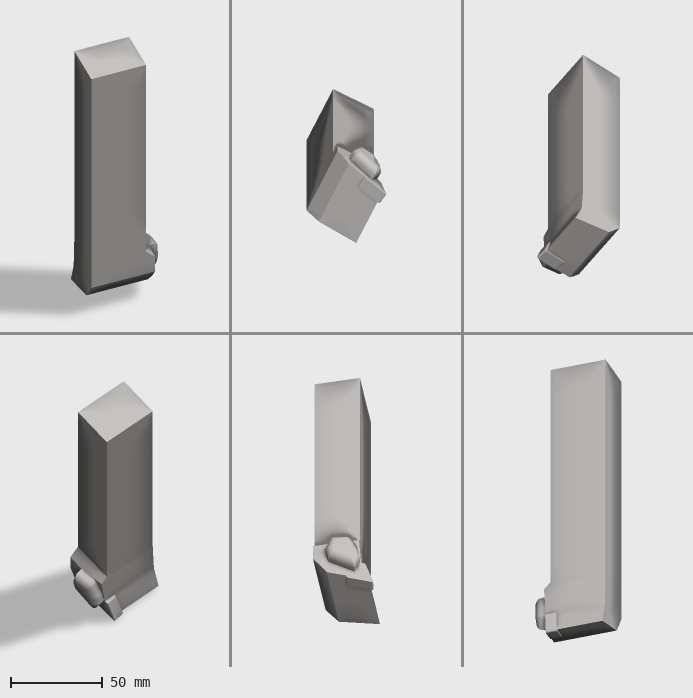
import cadquery as cq
import math

shank_width = 25.0
shank_depth = 32.0
tool_length = 171.4

head_top = 36.0
head_depth = 37.4
neck_x = -1.0
neck_z = 15.0
neck_radius = 17.1
toe_x = -5.1
toe_z = 1.9
heel_x = 17.6
heel_z = 8.7
flank_z = 20.0

corner_x = -7.7
corner_z = -0.41
rake_slope_x = 0.14
rake_slope_z = 0.08
waste_size = 342.7

insert_angle = 55.0
inscribed_diameter = 12.7
insert_thickness = 6.3
nose_radius = 0.8
edge_lead_angle = 17.5

clamp_height = 6.5
clamp_root = 1.7
clamp_fillet = 3.8
clamp_corner_radius = 3.5
clamp_outline = [
    (23.5, 31.2),
    (12.9, 31.5),
    (8.5, 21.6),
    (7.4, 15.8),
    (10.5, 8.7),
    (24.8, 17.1),
    (26.0, 22.3),
]

rake_plane = cq.Plane(
    origin=(corner_x, shank_depth, corner_z),
    xDir=(1, rake_slope_x, 0),
    normal=(rake_slope_x, -1, rake_slope_z),
)


def prism_along_y(outline, depth):
    """Extrude an outline of (x, z) points from Y = 0 back to the given depth."""
    return cq.Workplane("XZ").polyline(outline).close().extrude(-depth)


def make_insert():
    """Rhombic plate, rounded at its four corners, with the sharp corner at the rake plane origin."""
    edge = inscribed_diameter / math.sin(math.radians(insert_angle))
    lower_direction = math.radians(90 - edge_lead_angle - insert_angle)
    left_direction = math.radians(90 - edge_lead_angle)
    lower_end = (edge * math.cos(lower_direction), edge * math.sin(lower_direction))
    left_end = (edge * math.cos(left_direction), edge * math.sin(left_direction))
    far_end = (lower_end[0] + left_end[0], lower_end[1] + left_end[1])
    rhombus = cq.Workplane(rake_plane).polyline([(0, 0), lower_end, far_end, left_end]).close()
    plate = rhombus.extrude(insert_thickness)
    return plate.edges(cq.selectors.ParallelDirSelector(rake_plane.zDir)).fillet(nose_radius)


def make_shank():
    outline = [(0, head_top), (0, tool_length), (shank_width, tool_length), (shank_width, head_top)]
    return prism_along_y(outline, shank_depth)


def make_head():
    """Swept head with a 45 degree shoulder behind the shank and its back cut down to the rake face."""
    outline = [
        (0, head_top),
        (neck_x, neck_z),
        (toe_x, toe_z),
        (heel_x, heel_z),
        (shank_width, flank_z),
        (shank_width, head_top),
    ]
    head = prism_along_y(outline, head_depth)
    neck_edge = cq.selectors.NearestToPointSelector((neck_x, head_depth / 2, neck_z))
    head = head.edges(neck_edge).fillet(neck_radius)
    head = head.faces(">Z").edges(">Y").chamfer(head_depth - shank_depth)
    above_rake = cq.Workplane(rake_plane).rect(waste_size, waste_size).extrude(-waste_size)
    return head.cut(above_rake)


def make_clamp():
    """Boss with rounded upper edges, rooted below the rake plane in the head."""
    base = cq.Workplane(rake_plane).workplane(offset=clamp_root)
    boss = base.polyline(clamp_outline).close().extrude(-clamp_root - clamp_height)
    upright_edges = boss.edges(cq.selectors.ParallelDirSelector(rake_plane.zDir))
    upper_left = rake_plane.toWorldCoords(clamp_outline[1])
    boss = upright_edges.edges(cq.selectors.NearestToPointSelector(upper_left)).fillet(clamp_corner_radius)
    top_face = cq.selectors.DirectionMinMaxSelector(rake_plane.zDir, False)
    return boss.faces(top_face).edges().fillet(clamp_fillet)


insert = make_insert()
holder = make_shank().union(make_head()).union(make_clamp()).cut(insert)

result = cq.Compound.makeCompound([holder.solids().val(), insert.solids().val()])